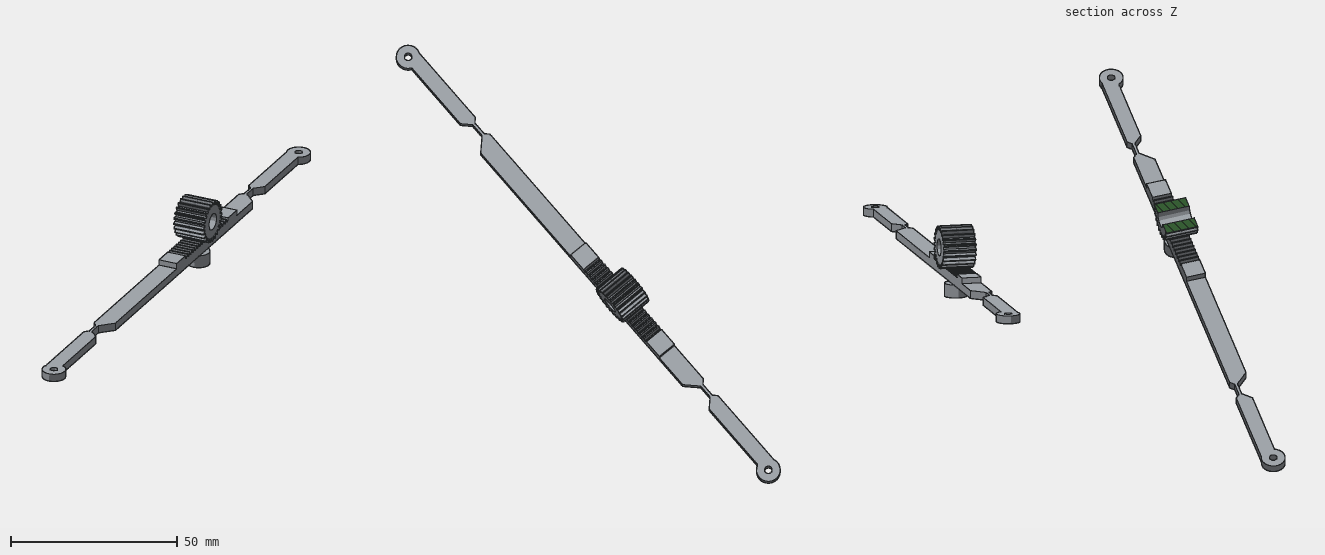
import cadquery as cq
import math


bar_length = 175.1
bar_thickness = 2.5
bar_width = 6.0
bar_left = -bar_width / 2
bar_right = bar_width / 2
arm_right = 1.8
hinge_left = -1.8
hinge_right = -0.9
hinge_inner_y = 51.0
hinge_outer_y = 55.3

eye_diameter = 7.2
eye_hole_diameter = 2.3
eye_x = 0.4
eye_y = bar_length / 2 - eye_diameter / 2

tooth_count = 24
gear_diameter = 13.0
gear_width = 10.0
gear_bore = 5.0
dedendum_factor = 1.25
pressure_angle = math.radians(20)
module = gear_diameter / (tooth_count + 2)
pitch_radius = module * tooth_count / 2
base_radius = pitch_radius * math.cos(pressure_angle)
tip_radius = gear_diameter / 2
dedendum = dedendum_factor * module
root_radius = pitch_radius - dedendum
backlash = 0.04
flank_steps = 4

rack_length = 41.3
rack_height = 1.8
rack_gap_count = 19
rack_pitch = math.pi * module
mesh_y = 15.5
rack_top_z = bar_thickness + rack_height
pitch_line_z = rack_top_z - module
gear_z = pitch_line_z + pitch_radius

pin_diameter = 6.8
pin_height = 4.0
pin_y = 16.1
pin_clearance = 1.35


def make_bar_half():
    """Half of the bar at Y >= 0: strip, 45-degree tapers, hinge, arm and eye."""
    half = (
        cq.Workplane("XY")
        .polyline([
            (bar_left, 0),
            (bar_right, 0),
            (bar_right, hinge_inner_y - (bar_right - hinge_right)),
            (hinge_right, hinge_inner_y),
            (hinge_right, hinge_outer_y),
            (arm_right, hinge_outer_y + (arm_right - hinge_right)),
            (arm_right, eye_y),
            (bar_left, eye_y),
            (bar_left, hinge_outer_y + (hinge_left - bar_left)),
            (hinge_left, hinge_outer_y),
            (hinge_left, hinge_inner_y),
            (bar_left, hinge_inner_y - (hinge_left - bar_left)),
        ])
        .close()
        .extrude(bar_thickness)
    )
    eye = cq.Workplane("XY").center(eye_x, eye_y).circle(eye_diameter / 2).extrude(bar_thickness)
    hole = cq.Workplane("XY").center(eye_x, eye_y).circle(eye_hole_diameter / 2).extrude(bar_thickness)
    return half.union(eye).cut(hole)


def make_rack():
    """Toothed pad with straight-sided gaps centred on mesh_y."""
    pad = (
        cq.Workplane("XY")
        .box(bar_width, rack_length, rack_height, centered=(True, True, False))
        .translate((0, mesh_y, bar_thickness))
    )
    slope = math.tan(pressure_angle)
    top_half_gap = rack_pitch / 4 + module * slope
    root_half_gap = rack_pitch / 4 - dedendum * slope
    root_z = pitch_line_z - dedendum
    for index in range(rack_gap_count):
        y = mesh_y + (index - (rack_gap_count - 1) / 2) * rack_pitch
        gap = (
            cq.Workplane("YZ")
            .polyline([
                (y - top_half_gap, rack_top_z),
                (y - root_half_gap, root_z),
                (y + root_half_gap, root_z),
                (y + top_half_gap, rack_top_z),
            ])
            .close()
            .extrude(bar_width / 2, both=True)
        )
        pad = pad.cut(gap)
    return pad


def make_rack_bar():
    half = make_bar_half()
    return half.union(half.mirror("XZ")).union(make_rack()).clean()


def polar(radius, angle):
    return (radius * math.cos(angle), radius * math.sin(angle))


def involute_angle(radius):
    """Angle swept by the involute between the base circle and the given radius."""
    roll = math.sqrt(max((radius / base_radius) ** 2 - 1, 0))
    return roll - math.atan(roll)


def flank_half_angle(radius):
    """Half of the angle that one tooth spans at the given radius."""
    pitch_half_angle = (rack_pitch / 2 - backlash) / (2 * pitch_radius)
    return pitch_half_angle + involute_angle(pitch_radius) - involute_angle(radius)


def make_gear():
    """Spur gear with involute teeth, its axis along X and one tooth pointing straight down."""
    tooth_angle = 2 * math.pi / tooth_count
    flank_radii = [
        base_radius + (tip_radius - base_radius) * step / flank_steps
        for step in range(flank_steps + 1)
    ]
    base_half_angle = flank_half_angle(base_radius)
    first_tooth = -math.pi / 2
    outline = cq.Workplane("YZ").moveTo(*polar(root_radius, first_tooth - base_half_angle))
    for index in range(tooth_count):
        middle = first_tooth + index * tooth_angle
        rising = [polar(r, middle - flank_half_angle(r)) for r in flank_radii]
        falling = [polar(r, middle + flank_half_angle(r)) for r in reversed(flank_radii)]
        outline = (
            outline.lineTo(*rising[0])
            .spline(rising[1:], includeCurrent=True)
            .threePointArc(polar(tip_radius, middle), falling[0])
            .spline(falling[1:], includeCurrent=True)
            .lineTo(*polar(root_radius, middle + base_half_angle))
            .threePointArc(
                polar(root_radius, middle + tooth_angle / 2),
                polar(root_radius, middle + tooth_angle - base_half_angle),
            )
        )
    blank = outline.close().extrude(gear_width / 2, both=True)
    bore = cq.Workplane("YZ").circle(gear_bore / 2).extrude(gear_width / 2, both=True)
    return blank.cut(bore).translate((0, mesh_y, gear_z))


def make_pin():
    return (
        cq.Workplane("XY")
        .circle(pin_diameter / 2)
        .extrude(pin_height)
        .translate((0, pin_y, -pin_clearance - pin_height))
    )


rack_bar = make_rack_bar()
gear = make_gear()
pin = make_pin()

result = cq.Compound.makeCompound([rack_bar.val(), gear.val(), pin.val()])